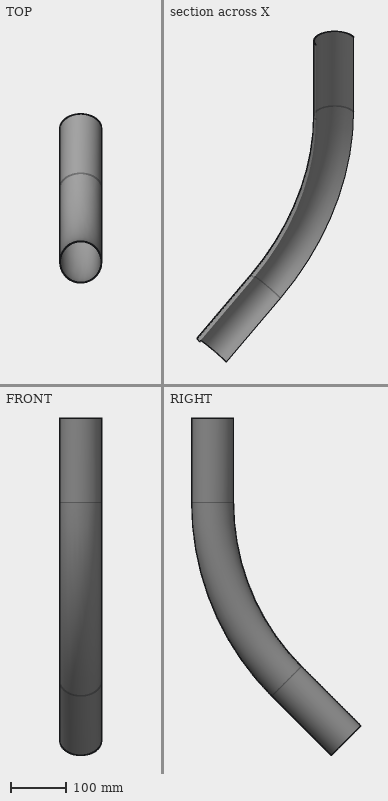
import cadquery as cq
import math

total_height = 610.5
outer_diameter = 76.0
inner_diameter = 73.0

bend_angle = 45.0
bend_radius = 457.0
lower_leg = 152.0

sin_bend = math.sin(math.radians(bend_angle))
cos_bend = math.cos(math.radians(bend_angle))

end_overhang = outer_diameter / 2 * sin_bend
upper_leg = total_height - end_overhang - (bend_radius + lower_leg) * sin_bend


def bend_point(angle):
    """Centreline point (Y, Z) after turning through an angle in degrees."""
    turn = math.radians(angle)
    y = bend_radius * (1 - math.cos(turn))
    z = -upper_leg - bend_radius * math.sin(turn)
    return y, z


bend_end_y, bend_end_z = bend_point(bend_angle)
lower_end = (bend_end_y + lower_leg * sin_bend, bend_end_z - lower_leg * cos_bend)

centreline = (
    cq.Workplane("YZ")
    .lineTo(0, -upper_leg)
    .threePointArc(bend_point(bend_angle / 2), (bend_end_y, bend_end_z))
    .lineTo(*lower_end)
)

result = (
    cq.Workplane("XY")
    .circle(outer_diameter / 2)
    .circle(inner_diameter / 2)
    .sweep(centreline)
)